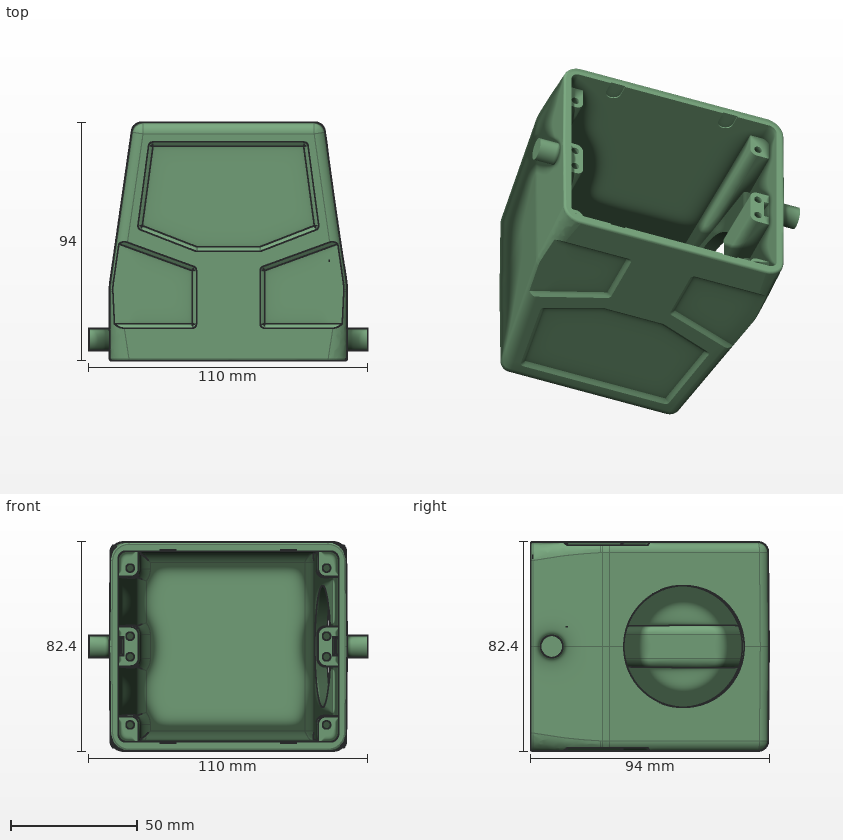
import cadquery as cq
import math

BASE_HALF_WIDTH = 46.9
BACK_HALF_WIDTH = 37.6
DEPTH = 94.0
HALF_HEIGHT = 41.2
BEND_Y = 29.7
BEND_RADIUS = 19.8
DRAFT = 0.5
EDGE_RADIUS = 4.2
MOUTH_CORNER_RADIUS = 7.5
MOUTH_ROUNDING = 0.9
MOUTH_LENGTH = 27.5
MOUTH_FLARE_POWER = 1.5
OVERRUN = 5.5

CAVITY_HALF_WIDTH = 43.5
CAVITY_BACK_HALF_WIDTH = 35.6
CAVITY_HALF_HEIGHT = 37.6
CAVITY_BACK_HALF_HEIGHT = 36.8
CAVITY_DEPTH = 90.5
CAVITY_CORNER_RADIUS = 3.3
CAVITY_BACK_RADIUS = 3.6

PAD_THICKNESS = 2.3
PAD_FRONT_Y = 28.8
PAD_EDGE_RADIUS = 1.3
ENTRY_RADIUS = 24.0
ENTRY_Y = 60.5

PILLAR_FRONT_Y = 7.9
PILLAR_INNER_X = 35.4
PILLAR_DRAFT = 0.7
PILLAR_RADIUS = 3.0
MIDDLE_PILLAR_HALF_HEIGHT = 7.7
CORNER_PILLAR_INNER_Z = 27.6
SCREW_X = 38.7
SCREW_HEIGHTS = (4.1, 30.9)
SCREW_DIAMETER = 3.2
SCREW_DEPTH = 13.2
NOTCH_WIDTH = 2.3
NOTCH_HEIGHT = 7.5
NOTCH_DEPTH = 3.8
NOTCH_DRAFT = 13.0

GROOVE_X = 23.8
GROOVE_WIDTH = 6.0
GROOVE_LENGTH = 7.9
GROOVE_DEPTH = 0.4

PIN_HALF_SPAN = 55.0
PIN_DIAMETER = 8.8
PIN_Y = 8.4

PANEL_DEPTH = 1.4
PANEL_WALL_RUN = 1.8
FLOOR_EDGE_RADIUS = 2.8
LABEL_BACK_Y = 84.5
LABEL_BACK_HALF_WIDTH = 29.7
LABEL_SIDE_Y = 53.2
LABEL_SIDE_HALF_WIDTH = 33.9
LABEL_TIP_Y = 44.9
LABEL_TIP_HALF_WIDTH = 12.3
GRIP_INNER_X = 14.3
GRIP_FRONT_Y = 14.6
GRIP_INNER_Y = 35.5
GRIP_SLOPE = 20.0

WALL_SLOPE = (BASE_HALF_WIDTH - BACK_HALF_WIDTH) / (DEPTH - BEND_Y)
CAVITY_SLOPE = (CAVITY_HALF_WIDTH - CAVITY_BACK_HALF_WIDTH) / (CAVITY_DEPTH - BEND_Y)


def block(x_size, y_size, z_size, center):
    return cq.Workplane("XY").box(x_size, y_size, z_size).translate(center)


def on_both_faces(shape):
    return shape.union(shape.mirror("XY"))


def near_y(y):
    """Test for edges whose middle lies close to a given Y."""
    return lambda edge: abs(edge.Center().y - y) < 1.1


def tapered_outline(front_y, half_width, back_y, back_half_width):
    """Outline straight up to the bend, then narrowing to the back."""
    half = [(half_width, front_y), (half_width, BEND_Y), (back_half_width, back_y)]
    mirrored = [(-x, y) for x, y in reversed(half)]
    return cq.Workplane("XY").polyline(half + mirrored).close()


def drafted_shell(half_height, edge_radius):
    """Solid hood with drafted walls, rounded bends and rounded outer edges."""
    outline = tapered_outline(-OVERRUN, BASE_HALF_WIDTH, DEPTH, BACK_HALF_WIDTH)
    half = outline.extrude(half_height, taper=DRAFT)
    half = half.edges().filter(near_y(BEND_Y)).fillet(BEND_RADIUS)
    half = half.edges("not #Z").filter(near_y(DEPTH)).fillet(EDGE_RADIUS)
    half = half.faces(">Z").edges("not <Y").fillet(edge_radius)
    return on_both_faces(half)


def mouth_section(y, corner_radius):
    """Drafted cross-section wire with rounded corners."""
    edge_half_width = BASE_HALF_WIDTH - HALF_HEIGHT * math.tan(math.radians(DRAFT))
    points = [
        (-edge_half_width, -HALF_HEIGHT),
        (edge_half_width, -HALF_HEIGHT),
        (BASE_HALF_WIDTH, 0),
        (edge_half_width, HALF_HEIGHT),
        (-edge_half_width, HALF_HEIGHT),
        (-BASE_HALF_WIDTH, 0),
    ]
    slab = cq.Workplane("XZ", origin=(0, y, 0)).polyline(points).close().extrude(-1.1)
    slab = slab.edges("|Y").edges(">Z or <Z").fillet(corner_radius)
    return slab.faces("<Y").wires().val()


def flared_mouth():
    """Front stretch whose corner rounding grows towards the opening."""
    steps = 2
    wires = []
    for step in range(steps + 1):
        remaining = 1 - step / steps
        radius = EDGE_RADIUS + (MOUTH_CORNER_RADIUS - EDGE_RADIUS) * remaining ** MOUTH_FLARE_POWER
        wires.append(mouth_section(MOUTH_LENGTH * step / steps, radius))
    return cq.Workplane(cq.Solid.makeLoft(wires))


def outer_shell():
    mouth_side = block(2 * PIN_HALF_SPAN, MOUTH_LENGTH + 2 * OVERRUN, 4 * HALF_HEIGHT,
                       (0, MOUTH_LENGTH / 2 - OVERRUN, 0))
    rear = drafted_shell(HALF_HEIGHT, EDGE_RADIUS).cut(mouth_side)
    shell = rear.union(flared_mouth())
    return shell.faces("<Y").edges().fillet(MOUTH_ROUNDING)


def panel_pocket(points):
    """Pocket with sloping walls whose floor outline is given."""
    floor = cq.Workplane("XY", origin=(0, 0, HALF_HEIGHT - PANEL_DEPTH)).polyline(points).close()
    angle = math.degrees(math.atan(PANEL_WALL_RUN / PANEL_DEPTH))
    return floor.extrude(2 * PANEL_DEPTH, taper=-angle)


def label_panel():
    half = [
        (LABEL_TIP_HALF_WIDTH, LABEL_TIP_Y),
        (LABEL_SIDE_HALF_WIDTH, LABEL_SIDE_Y),
        (LABEL_BACK_HALF_WIDTH, LABEL_BACK_Y),
    ]
    return panel_pocket(half + [(-x, y) for x, y in reversed(half)])


def grip_panel():
    outer_x = BASE_HALF_WIDTH + OVERRUN
    outer_y = GRIP_INNER_Y + (outer_x - GRIP_INNER_X) * math.tan(math.radians(GRIP_SLOPE))
    points = [
        (GRIP_INNER_X, GRIP_FRONT_Y),
        (outer_x, GRIP_FRONT_Y),
        (outer_x, outer_y),
        (GRIP_INNER_X, GRIP_INNER_Y),
    ]
    return panel_pocket(points)


def panel_cutters():
    """Both panels on both faces, kept outside a core with rounded edges."""
    right_grip = grip_panel()
    panels = on_both_faces(label_panel().union(right_grip).union(right_grip.mirror("YZ")))
    return panels.cut(drafted_shell(HALF_HEIGHT - PANEL_DEPTH, FLOOR_EDGE_RADIUS))


def plain_cavity():
    spare_height = OVERRUN * (CAVITY_HALF_HEIGHT - CAVITY_BACK_HALF_HEIGHT) / CAVITY_DEPTH
    side_view = [
        (-OVERRUN, CAVITY_HALF_HEIGHT + spare_height),
        (CAVITY_DEPTH, CAVITY_BACK_HALF_HEIGHT),
    ]
    side_view += [(y, -z) for y, z in reversed(side_view)]
    height_limit = cq.Workplane("YZ").polyline(side_view).close().extrude(HALF_HEIGHT * 2, both=True)
    outline = tapered_outline(-OVERRUN, CAVITY_HALF_WIDTH, CAVITY_DEPTH, CAVITY_BACK_HALF_WIDTH)
    hollow = outline.extrude(HALF_HEIGHT, both=True).intersect(height_limit)
    corners = hollow.edges("not |Z").edges("not |X")
    return corners.fillet(CAVITY_CORNER_RADIUS)


def entry_pad():
    """Thickening of the sloping +X wall around the cable entry."""
    back_y = CAVITY_DEPTH + OVERRUN
    front_x = CAVITY_HALF_WIDTH - PAD_THICKNESS
    points = [
        (BASE_HALF_WIDTH, PAD_FRONT_Y),
        (front_x, PAD_FRONT_Y),
        (front_x - CAVITY_SLOPE * (back_y - PAD_FRONT_Y), back_y),
        (BASE_HALF_WIDTH, back_y),
    ]
    pad = cq.Workplane("XY").polyline(points).close().extrude(HALF_HEIGHT, both=True)
    return pad.edges("|Z").filter(near_y(PAD_FRONT_Y)).edges("<X").fillet(PAD_EDGE_RADIUS)


def pillar(bottom_z, top_z, rounded_edges):
    """Pillar on the +X wall, growing slightly from its front face to the back."""
    width = BASE_HALF_WIDTH - PILLAR_INNER_X
    height = top_z - bottom_z
    length = DEPTH - PILLAR_FRONT_Y
    center = (PILLAR_INNER_X + width / 2, PILLAR_FRONT_Y, (top_z + bottom_z) / 2)
    profile = cq.Sketch().rect(width, height).vertices(rounded_edges).fillet(PILLAR_RADIUS)
    front = cq.Workplane("XZ", origin=center).placeSketch(profile)
    return front.extrude(-length, taper=-PILLAR_DRAFT)


def pillars():
    """All pillars on a slab behind the cavity, with their feet rounded into it."""
    middle = pillar(-MIDDLE_PILLAR_HALF_HEIGHT, MIDDLE_PILLAR_HALF_HEIGHT, "<X")
    corner = pillar(CORNER_PILLAR_INNER_Z, HALF_HEIGHT, "<X and <Y")
    one_side = middle.union(on_both_faces(corner))
    slab = block(3 * BASE_HALF_WIDTH, OVERRUN, 3 * HALF_HEIGHT, (0, CAVITY_DEPTH + OVERRUN / 2, 0))
    standing = slab.union(one_side).union(one_side.mirror("YZ"))
    slab_front = standing.faces(cq.selectors.NearestToPointSelector((0, CAVITY_DEPTH, 0))).val()
    feet = [edge for outline in slab_front.innerWires() for edge in outline.Edges()]
    return standing.newObject(feet).fillet(CAVITY_BACK_RADIUS)


def cavity():
    hollow = plain_cavity().cut(entry_pad())
    hollow = hollow.faces(">Y").edges().fillet(CAVITY_BACK_RADIUS)
    return hollow.cut(pillars())


def cable_entry():
    """Round opening square to the sloping +X wall."""
    angle = math.atan(WALL_SLOPE)
    outer_x = BASE_HALF_WIDTH - WALL_SLOPE * (ENTRY_Y - BEND_Y)
    inward = cq.Vector(-math.cos(angle), -math.sin(angle), 0)
    start = cq.Vector(outer_x, ENTRY_Y, 0) - inward * OVERRUN
    return cq.Workplane(cq.Solid.makeCylinder(ENTRY_RADIUS, 4 * OVERRUN, start, inward))


def screw_holes():
    centers = [(x, sign * z) for x in (-SCREW_X, SCREW_X) for z in SCREW_HEIGHTS for sign in (-1, 1)]
    front = cq.Workplane("XZ", origin=(0, PILLAR_FRONT_Y, 0)).pushPoints(centers)
    return front.circle(SCREW_DIAMETER / 2).extrude(-SCREW_DEPTH)


def pillar_notches():
    """Tapering notches beside the wall in the middle pillars."""
    centers = [(sign * (CAVITY_HALF_WIDTH - NOTCH_WIDTH / 2), 0) for sign in (-1, 1)]
    front = cq.Workplane("XZ", origin=(0, PILLAR_FRONT_Y, 0)).pushPoints(centers)
    return front.rect(NOTCH_WIDTH, NOTCH_HEIGHT).extrude(-NOTCH_DEPTH, taper=NOTCH_DRAFT)


def mouth_grooves():
    """Shallow round-ended grooves running in from the mouth on both Z walls."""
    half_height = CAVITY_HALF_HEIGHT + GROOVE_DEPTH
    plane = cq.Workplane("XY").pushPoints([(-GROOVE_X, 0), (GROOVE_X, 0)])
    return plane.slot2D(2 * GROOVE_LENGTH, GROOVE_WIDTH, 90).extrude(half_height, both=True)


def locking_pins():
    length = PIN_HALF_SPAN - CAVITY_HALF_WIDTH
    pin = cq.Workplane("YZ", origin=(CAVITY_HALF_WIDTH, PIN_Y, 0)).circle(PIN_DIAMETER / 2).extrude(length)
    return pin.union(pin.mirror("YZ"))


hood = outer_shell().cut(panel_cutters()).cut(cavity()).cut(cable_entry())
hood = hood.cut(screw_holes()).cut(pillar_notches()).cut(mouth_grooves())
result = hood.union(locking_pins())